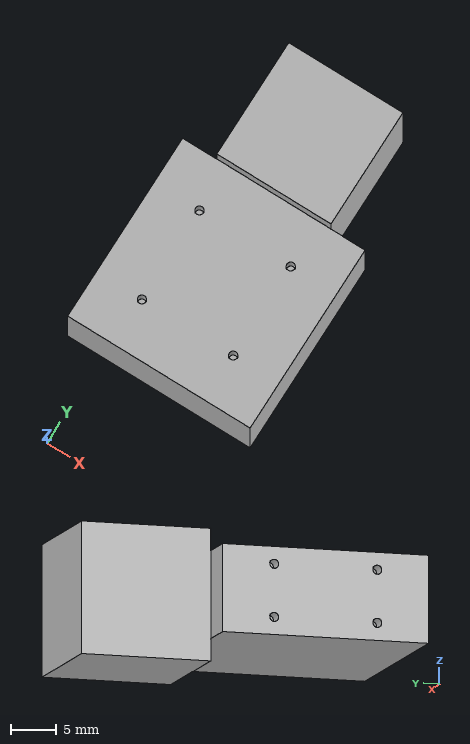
import cadquery as cq

overall_length = 39

body_side = 24.0
body_height = 10.0

block_side = overall_length - body_side

hole_diameter = 1.0
hole_depth = 2.0
hole_spacing = body_side / 2
side_hole_spacing_z = 6.0


def body():
    return cq.Workplane("XY").box(body_side, body_side, body_height)


def rear_block():
    centre_y = (body_side + block_side) / 2
    block = cq.Workplane("XY").box(block_side, block_side, block_side)
    return block.translate((0, centre_y, 0))


def drill_pattern(part, face, spacing_x, spacing_y):
    """Drill a 2 x 2 pattern of blind holes about the body centre."""
    return (
        part.faces(face)
        .workplane(origin=(0, 0, 0))
        .rarray(spacing_x, spacing_y, 2, 2)
        .hole(hole_diameter, hole_depth)
    )


drilled_body = drill_pattern(body(), ">Z", hole_spacing, hole_spacing)
drilled_body = drill_pattern(drilled_body, "<X", hole_spacing, side_hole_spacing_z)
result = drilled_body.union(rear_block())